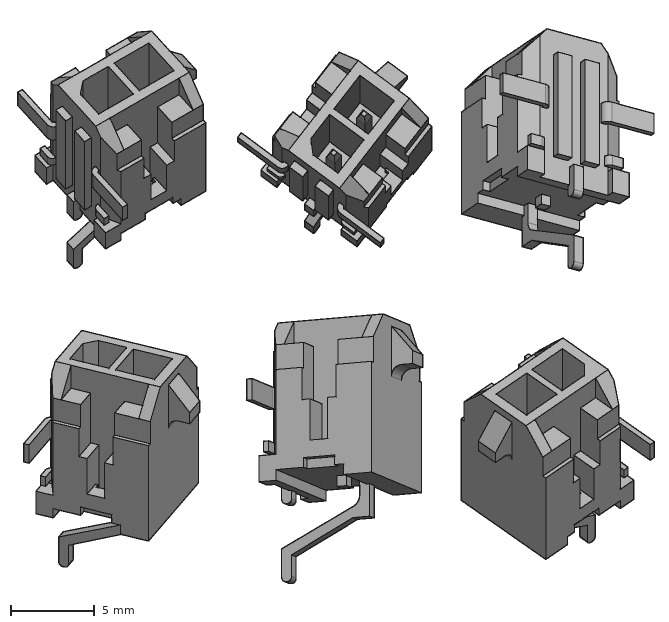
import cadquery as cq
import math


overall_height = 15.4

housing_depth = 6.88
housing_top = 9.89
base_z = 0.65
half_width = 3.59
shoulder_half_width = 3.34
core_half_width = 1.91
shoulder_step_z = 6.71
ledge_z = 8.27
corner_half_width = 2.4
corner_depth = 0.65
front_reach = -0.5

front_foot_top = 1.59
front_foot_depth = 0.65
rear_foot_depth = 1.83

top_recess_y = (1.05, 6.13)
wide_slot_y = (2.33, 4.56)
wide_slot_floor = 4.76
narrow_slot_y = (2.86, 4.0)
narrow_slot_floor = 2.26
nail_pocket_floor = front_foot_top
nail_pocket_y = (3.02, 3.87)
nail_pocket_half_width = 2.65
nail_pocket_wide_part = 2.35
foot_notch_y = (2.43, 4.47)
foot_notch_top = 1.23
foot_notch_depth = 0.5

socket_size = 2.55
socket_key = 0.7
socket_floor = narrow_slot_floor
pin_y = (1.95, 4.95)
pin_size = 0.66
pin_tip_size = 0.28
pin_tip_height = 1.05
pin_top = 7.39

rib_x = (0.46, 1.46)
rib_z = (1.57, ledge_z)

tail_round = 0.3
tail_bottom = housing_top - overall_height
front_tail_top = 1.17
front_tail_bottom = -0.79
bend_bottom = -1.97
bend_heel_y = 4.19
bend_radius = 0.71
slope_start_z = -3.91
slope_end_z = -3.5
slope_drop = 0.47

tab_z = (4.64, 5.93)
tab_end = 5.33
tab_inner = 1.9
tab_thickness = 0.35
tab_bend_radius = 0.1
hook_z = (1.86, 2.51)
hook_x = (2.14, 3.25)
hook_thickness = 0.35

lock_width = 1.45
lock_reach = 8.27
lock_top = 9.35
lock_nose_z = (6.98, 7.76)
lock_fillet = 0.66

peg_y = (3.13, 3.77)

embed = 0.15


def block(x, y, z):
    """Box given by its (low, high) limits along each axis."""
    return cq.Workplane("XY").box(
        x[1] - x[0], y[1] - y[0], z[1] - z[0], centered=False
    ).translate((x[0], y[0], z[0]))


def both_sides(shape):
    """The shape together with its mirror image across X = 0."""
    return shape.union(shape.mirror("YZ"))


def centred(width):
    return (-width / 2, width / 2)


def make_housing():
    outline = [
        (-half_width, 0),
        (half_width, 0),
        (half_width, shoulder_step_z),
        (shoulder_half_width, shoulder_step_z),
        (shoulder_half_width, ledge_z),
        (core_half_width, housing_top),
        (-core_half_width, housing_top),
        (-shoulder_half_width, ledge_z),
        (-shoulder_half_width, shoulder_step_z),
        (-half_width, shoulder_step_z),
    ]
    body = cq.Workplane("XZ").polyline(outline).close().extrude(-housing_depth)
    bevel = (
        cq.Workplane("XY")
        .polyline([(corner_half_width, 0), (half_width, corner_depth), (half_width, 0)])
        .close()
        .extrude(housing_top)
    )
    body = body.cut(both_sides(bevel))
    foot = block((corner_half_width, half_width), (front_reach, front_foot_depth), (0, front_foot_top))
    body = body.union(both_sides(foot))
    rear_foot_y = housing_depth - rear_foot_depth
    return body.cut(block((-half_width, half_width), (front_foot_depth, rear_foot_y), (0, base_z)))


def make_side_recesses():
    side = (core_half_width, half_width)
    recess = block(side, top_recess_y, (ledge_z, housing_top))
    recess = recess.union(block(side, wide_slot_y, (wide_slot_floor, housing_top)))
    recess = recess.union(block(side, narrow_slot_y, (narrow_slot_floor, housing_top)))
    pocket_z = (nail_pocket_floor, narrow_slot_floor)
    recess = recess.union(block((core_half_width, nail_pocket_wide_part), narrow_slot_y, pocket_z))
    recess = recess.union(block((core_half_width, nail_pocket_half_width), nail_pocket_y, pocket_z))
    notch_x = (half_width - foot_notch_depth, half_width)
    recess = recess.union(block(notch_x, foot_notch_y, (base_z, foot_notch_top)))
    return both_sides(recess)


def make_socket(y):
    return block(centred(socket_size), (y - socket_size / 2, y + socket_size / 2), (socket_floor, housing_top))


def make_pin(y):
    shank_top = pin_top - pin_tip_height
    shank = block(centred(pin_size), (y - pin_size / 2, y + pin_size / 2), (socket_floor - embed, shank_top))
    tip = (
        cq.Workplane("XY", origin=(0, y, shank_top))
        .rect(pin_size, pin_size)
        .workplane(offset=pin_tip_height)
        .rect(pin_tip_size, pin_tip_size)
        .loft(ruled=True)
    )
    return shank.union(tip)


def make_sockets():
    front, rear = (make_socket(y) for y in pin_y)
    key_corner = "<X and <Y"
    return front.edges("|Z").edges(key_corner).chamfer(socket_key).union(rear)


def make_rear_tail():
    rear_y = pin_y[1] + pin_size / 2
    inner_y = pin_y[1] - pin_size / 2
    tail_y = front_reach + pin_size
    elbow_z = slope_end_z + slope_drop * (inner_y - front_reach)
    outline = [
        (rear_y, base_z + embed),
        (rear_y, bend_bottom),
        (bend_heel_y, bend_bottom),
        (tail_y, slope_start_z),
        (tail_y, tail_bottom),
        (front_reach, tail_bottom),
        (front_reach, slope_end_z),
        (inner_y, elbow_z),
        (inner_y, base_z + embed),
    ]
    tail = cq.Workplane("YZ").polyline(outline).close().extrude(pin_size / 2, both=True)
    elbow = cq.selectors.NearestToPointSelector((0, inner_y, elbow_z))
    return tail.edges("|X").edges(elbow).fillet(bend_radius).faces("<Z").edges("|X").fillet(tail_round)


def make_front_tail():
    tail = block(centred(pin_size), (front_reach, front_reach + pin_size), (front_tail_bottom, front_tail_top))
    return tail.faces("<Z").edges("|X").fillet(tail_round)


def make_tab():
    """Flat tab whose inner end bends back into the front face."""
    back_y = front_reach + tab_thickness
    outer_radius = tab_bend_radius + tab_thickness
    bend_x = tab_inner + outer_radius
    bend_y = front_reach + outer_radius
    diagonal = math.sqrt(0.5)
    outer_mid = (bend_x - outer_radius * diagonal, bend_y - outer_radius * diagonal)
    inner_mid = (bend_x - tab_bend_radius * diagonal, bend_y - tab_bend_radius * diagonal)
    return (
        cq.Workplane("XY", origin=(0, 0, tab_z[0]))
        .moveTo(tab_inner, embed)
        .lineTo(tab_inner, bend_y)
        .threePointArc(outer_mid, (bend_x, front_reach))
        .lineTo(tab_end, front_reach)
        .lineTo(tab_end, back_y)
        .lineTo(bend_x, back_y)
        .threePointArc(inner_mid, (tab_inner + tab_thickness, bend_y))
        .lineTo(tab_inner + tab_thickness, embed)
        .close()
        .extrude(tab_z[1] - tab_z[0])
    )


def make_hook():
    """Short lower tab: a plate on the front face with a quarter-round inner end."""
    arc_mid = hook_thickness * math.sqrt(0.5)
    round_x = hook_x[0] + hook_thickness
    return (
        cq.Workplane("XY", origin=(0, 0, hook_z[0]))
        .moveTo(hook_x[0], 0)
        .threePointArc((round_x - arc_mid, -arc_mid), (round_x, -hook_thickness))
        .lineTo(hook_x[1], -hook_thickness)
        .lineTo(hook_x[1], 0)
        .close()
        .extrude(hook_z[1] - hook_z[0])
    )


def make_lock():
    back = housing_depth
    fillet_mid = lock_fillet * (1 - math.sqrt(0.5))
    return (
        cq.Workplane("YZ")
        .moveTo(back - embed, lock_top)
        .lineTo(back, lock_top)
        .lineTo(lock_reach, lock_nose_z[1])
        .lineTo(lock_reach, lock_nose_z[0])
        .lineTo(back + lock_fillet, lock_nose_z[0])
        .threePointArc(
            (back + fillet_mid, lock_nose_z[0] - fillet_mid),
            (back, lock_nose_z[0] - lock_fillet),
        )
        .lineTo(back - embed, lock_nose_z[0] - lock_fillet)
        .close()
        .extrude(lock_width / 2, both=True)
    )


result = make_housing().cut(make_side_recesses()).cut(make_sockets())
for y in pin_y:
    result = result.union(make_pin(y))
result = result.union(both_sides(block(rib_x, (front_reach, 0), rib_z)))
result = result.union(both_sides(make_tab()))
result = result.union(both_sides(make_hook()))
result = result.union(make_lock())
result = result.union(block(centred(pin_size), peg_y, (0, base_z)))
result = result.union(make_front_tail())
result = result.union(make_rear_tail())